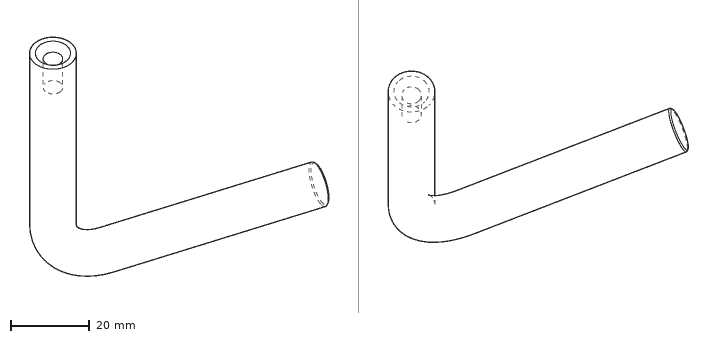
import cadquery as cq
import math

bar_diameter = 12.0
bar_radius = bar_diameter / 2
leg_length = 60.0
bend_radius = 15.0
end_chamfer = 0.4

hole_diameter = 5.0
hole_depth = 12.0
countersink_diameter = 9.0
countersink_angle = 90.0
drill_point_angle = 118.0

horizontal_axis_z = bar_radius
bend_top_z = horizontal_axis_z + bend_radius
vertical_end_z = bend_top_z + leg_length
horizontal_end_y = bend_radius + leg_length


def cone_height(large_radius, small_radius, included_angle):
    """Axial height of a cone with the given end radii and included angle."""
    return (large_radius - small_radius) / math.tan(math.radians(included_angle / 2))


def make_bent_bar():
    """Round bar swept down the vertical leg, round the bend and out along +Y."""
    bend_offset = bend_radius * math.sin(math.radians(45))
    bend_middle = (bend_radius - bend_offset, bend_top_z - bend_offset)
    centreline = (
        cq.Workplane("YZ")
        .moveTo(0, vertical_end_z)
        .lineTo(0, bend_top_z)
        .threePointArc(bend_middle, (bend_radius, horizontal_axis_z))
        .lineTo(horizontal_end_y, horizontal_axis_z)
    )
    bar = cq.Workplane("XY", origin=(0, 0, vertical_end_z)).circle(bar_radius).sweep(centreline)
    return bar.faces(">Y").chamfer(end_chamfer)


def make_hole_cutter():
    """Revolved cutter: countersink, straight wall and conical drill point."""
    hole_radius = hole_diameter / 2
    countersink_radius = countersink_diameter / 2
    countersink_depth = cone_height(countersink_radius, hole_radius, countersink_angle)
    tip_depth = hole_depth + cone_height(hole_radius, 0, drill_point_angle)
    return (
        cq.Workplane("XZ", origin=(0, 0, vertical_end_z))
        .moveTo(0, 0)
        .lineTo(countersink_radius, 0)
        .lineTo(hole_radius, -countersink_depth)
        .lineTo(hole_radius, -hole_depth)
        .lineTo(0, -tip_depth)
        .close()
        .revolve(360, (0, 0, 0), (0, 1, 0))
    )


result = make_bent_bar().cut(make_hole_cutter())